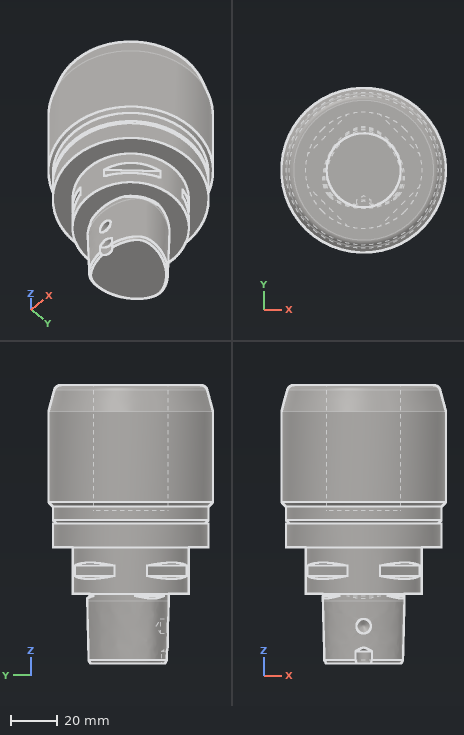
import cadquery as cq
import math

total_height = 120.0
shank_height = 30.0
flange_top = 50.0
groove_floor_z = 60.4
groove_depth = 1.5
sleeve_chamfer_z = 67.5
nose_start_z = 108.5

flange_radius = 25.1
collar_radius = 33.6
sleeve_radius = 35.5
nose_angle = 15.0
nose_fillet = 3.0
bore_radius = 16.0
bore_depth = 54.0

notch_count = 4
notch_floor_distance = 22.0
notch_center_z = 40.0
notch_floor_height = 4.3
notch_mouth_height = 7.1

lobe_count = 3
lobe_angle = 90.0
lobe_height = 1.2
shank_mean_radius = 17.6
shank_taper = 1 / 40
straight_start_z = 27.0
end_chamfer_height = 1.5
end_chamfer_inset = 0.8
curve_points = 48

relief_radius = 17.6
relief_straight_height = 0.8
relief_cone_height = 1.2
relief_outer_radius = 20.4

drill_tip_angle = 118.0
side_hole_radius = 3.1
side_hole_z = 16.1
side_hole_floor_distance = 12.8
key_radius = 3.8
key_axis_distance = 17.2
key_height = 5.3


def turned_body():
    """Sleeve, collar and flange as one revolved profile."""
    nose_inset = (total_height - nose_start_z) * math.tan(math.radians(nose_angle))
    sleeve_chamfer = sleeve_radius - collar_radius
    profile = (
        cq.Workplane("XZ")
        .moveTo(0, shank_height)
        .lineTo(flange_radius, shank_height)
        .lineTo(flange_radius, flange_top)
        .lineTo(collar_radius, flange_top)
        .lineTo(collar_radius, groove_floor_z)
        .lineTo(collar_radius - groove_depth, groove_floor_z)
        .lineTo(collar_radius, groove_floor_z + groove_depth)
        .lineTo(collar_radius, sleeve_chamfer_z)
        .lineTo(sleeve_radius, sleeve_chamfer_z + sleeve_chamfer)
        .lineTo(sleeve_radius, nose_start_z)
        .lineTo(sleeve_radius - nose_inset, total_height)
        .lineTo(0, total_height)
        .close()
    )
    body = profile.revolve(360, (0, 0), (0, 1)).faces(">Z").edges().fillet(nose_fillet)
    return body.faces(">Z").workplane().hole(2 * bore_radius, bore_depth)


def notch(angle):
    """Flat-bottomed notch with flared upper and lower walls."""
    flare_slope = (notch_mouth_height - notch_floor_height) / 2 / (flange_radius - notch_floor_distance)
    outer_distance = flange_radius + 1.2
    floor_half = notch_floor_height / 2
    outer_half = floor_half + flare_slope * (outer_distance - notch_floor_distance)
    cutter = (
        cq.Workplane("XZ")
        .moveTo(notch_floor_distance, notch_center_z - floor_half)
        .lineTo(outer_distance, notch_center_z - outer_half)
        .lineTo(outer_distance, notch_center_z + outer_half)
        .lineTo(notch_floor_distance, notch_center_z + floor_half)
        .close()
        .extrude(flange_radius, both=True)
    )
    return cutter.rotate((0, 0, 0), (0, 0, 1), angle)


def lobed_wire(mean_radius, z):
    """Constant-width curve whose tangent distance is mean_radius + lobe_height * cos(phase)."""
    points = []
    for i in range(curve_points):
        angle = 2 * math.pi * i / curve_points
        phase = lobe_count * (angle - math.radians(lobe_angle))
        distance = mean_radius + lobe_height * math.cos(phase)
        slope = -lobe_count * lobe_height * math.sin(phase)
        x = distance * math.cos(angle) - slope * math.sin(angle)
        y = distance * math.sin(angle) + slope * math.cos(angle)
        points.append(cq.Vector(x, y, z))
    return cq.Wire.assembleEdges([cq.Edge.makeSpline(points, periodic=True)])


def lobed_section(radius_low, z_low, radius_high, z_high):
    """Solid between two lobed outlines."""
    wires = [lobed_wire(radius_low, z_low), lobed_wire(radius_high, z_high)]
    return cq.Workplane(cq.Solid.makeLoft(wires, True))


def lobe_relief():
    """Ring that trims the lobes just below the flange."""
    cone_top = shank_height - relief_straight_height
    cone_bottom = cone_top - relief_cone_height
    cone_bottom_radius = relief_radius + relief_cone_height
    return (
        cq.Workplane("XZ")
        .moveTo(relief_radius, shank_height)
        .lineTo(relief_radius, cone_top)
        .lineTo(cone_bottom_radius, cone_bottom)
        .lineTo(relief_outer_radius, cone_bottom)
        .lineTo(relief_outer_radius, shank_height)
        .close()
        .revolve(360, (0, 0), (0, 1))
    )


def drill(radius, depth):
    """Drill pointing up from the origin: a cylinder with a conical tip beyond its depth."""
    tip_height = radius / math.tan(math.radians(drill_tip_angle / 2))
    return (
        cq.Workplane("XZ")
        .lineTo(radius, 0)
        .lineTo(radius, depth)
        .lineTo(0, depth + tip_height)
        .close()
        .revolve(360, (0, 0), (0, 1))
    )


def shank():
    """Tapered three-lobed shank with its relief, side hole and key slot."""
    end_radius = shank_mean_radius - shank_taper * (straight_start_z - end_chamfer_height)
    solid = lobed_section(end_radius - end_chamfer_inset, 0, end_radius, end_chamfer_height)
    solid = solid.union(lobed_section(end_radius, end_chamfer_height, shank_mean_radius, straight_start_z))
    solid = solid.union(lobed_section(shank_mean_radius, straight_start_z, shank_mean_radius, shank_height))
    solid = solid.cut(lobe_relief())

    side_hole = drill(side_hole_radius, shank_mean_radius - side_hole_floor_distance)
    side_hole = side_hole.rotate((0, 0, 0), (1, 0, 0), -90)
    solid = solid.cut(side_hole.translate((0, -shank_mean_radius, side_hole_z)))

    key_slot = drill(key_radius, key_height).translate((0, -key_axis_distance, 0))
    return solid.cut(key_slot)


body = turned_body()
for i in range(notch_count):
    body = body.cut(notch((i + 0.5) * 360 / notch_count))

result = body.union(shank())